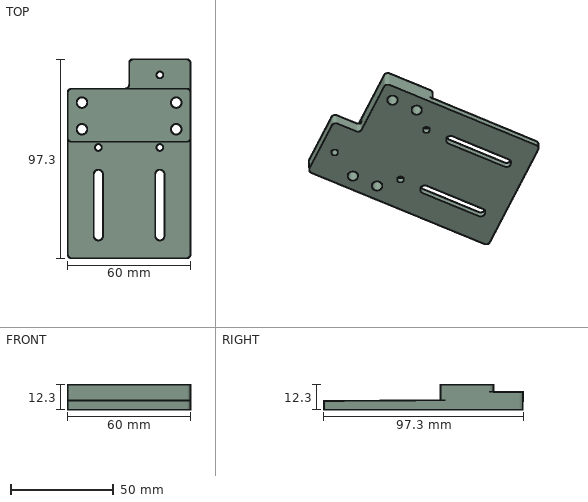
import cadquery as cq
import math

plate_width = 60.0
overall_length = 97.26
corner_radius = 2.0

pad_depth = 26.0
pad_height = 12.3
pad_front_y = 56.85
pad_back_y = pad_front_y + pad_depth
pad_centre_y = pad_front_y + pad_depth / 2
pad_hole_diameter = 5.04
pad_hole_spacing_x = 46.0
pad_hole_spacing_y = 13.0
pad_hole_centre_y = 69.5

tab_width = 30.0
tab_height = 8.7
tab_left_x = plate_width - tab_width

tab_rear_lean = 0.25
tab_foot_y = overall_length - tab_rear_lean

tilt_degrees = 0.4
plate_front_height = 4.35
plate_pad_height = plate_front_height + pad_front_y * math.tan(math.radians(tilt_degrees))

tab_front_y = pad_front_y + corner_radius

left_column_x = plate_width / 4
right_column_x = plate_width - left_column_x
small_hole_diameter = 3.2
plate_hole_y = 54.1
tab_hole_y = 89.5
slot_width = 4.4
slot_travel = 30.0
slot_centre_y = 26.0


def make_plan_prism():
    """L-shaped plan at full height, with every corner rounded except the two at the rear."""
    prism = (
        cq.Workplane("XY")
        .polyline([
            (0, 0),
            (plate_width, 0),
            (plate_width, overall_length),
            (tab_left_x, overall_length),
            (tab_left_x, pad_back_y),
            (0, pad_back_y),
        ])
        .close()
        .extrude(pad_height)
    )
    return prism.edges("|Z").edges("not >Y").fillet(corner_radius)


def make_side_prism():
    """Side outline of the sloping plate and the tab, extended across the full width."""
    return (
        cq.Workplane("YZ")
        .polyline([
            (0, 0),
            (tab_foot_y, 0),
            (overall_length, tab_height),
            (tab_front_y, tab_height),
            (tab_front_y, plate_pad_height),
            (pad_front_y, plate_pad_height),
            (0, plate_front_height),
        ])
        .close()
        .extrude(plate_width)
    )


def make_base():
    """Plate and tab in one piece, with the leaning rear corners rounded."""
    base = make_plan_prism().intersect(make_side_prism())
    rear_corners = base.faces(">Y").edges("not |X")
    return rear_corners.fillet(corner_radius)


def make_pad():
    """Rounded rectangular block standing on the base."""
    return (
        cq.Workplane("XY")
        .center(plate_width / 2, pad_centre_y)
        .rect(plate_width, pad_depth)
        .extrude(pad_height)
        .edges("|Z")
        .fillet(corner_radius)
    )


def make_holes():
    """Cutters for all the through holes and adjustment slots."""
    pad_holes = (
        cq.Workplane("XY")
        .center(plate_width / 2, pad_hole_centre_y)
        .rect(pad_hole_spacing_x, pad_hole_spacing_y, forConstruction=True)
        .vertices()
        .circle(pad_hole_diameter / 2)
        .extrude(pad_height)
    )
    small_holes = (
        cq.Workplane("XY")
        .pushPoints([
            (left_column_x, plate_hole_y),
            (right_column_x, plate_hole_y),
            (right_column_x, tab_hole_y),
        ])
        .circle(small_hole_diameter / 2)
        .extrude(pad_height)
    )
    slots = (
        cq.Workplane("XY")
        .pushPoints([(left_column_x, slot_centre_y), (right_column_x, slot_centre_y)])
        .slot2D(slot_travel + slot_width, slot_width, 90)
        .extrude(pad_height)
    )
    return pad_holes.union(small_holes).union(slots)


result = make_base().union(make_pad()).cut(make_holes())